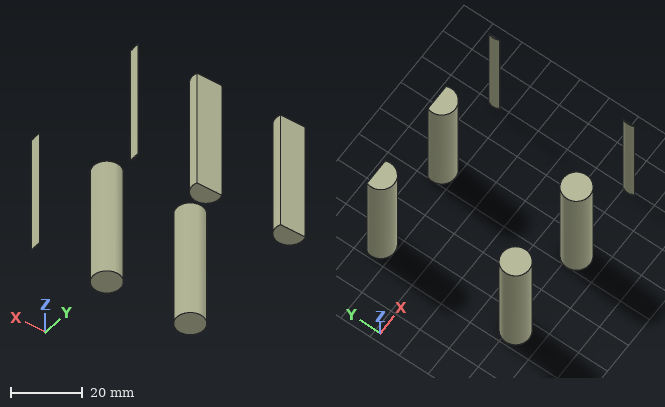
import cadquery as cq

envelope_x = 58.45
envelope_y = 52.7
rod_height = 41.4

rod_diameter = 9.3
rod_radius = rod_diameter / 2
column_pitch = 29.0
row_pitch = 46.35
row_count = 2
whole_columns = 2
last_column = whole_columns

cut_x = envelope_x / 2
cut_y = envelope_y / 2

first_x = -envelope_x / 2 + rod_radius
first_y = -envelope_y / 2 + rod_radius


def rod(column, row):
    """Upright round rod at a grid position, standing on Z = 0."""
    x = first_x + column * column_pitch
    y = first_y + row * row_pitch
    return cq.Workplane("XY").center(x, y).circle(rod_radius).extrude(rod_height)


def keep_below(body, axis, limit):
    """Remove everything past a flat face at the given X or Y limit."""
    block_size = 2 * envelope_x
    offset = limit + block_size / 2
    center = (offset, 0, 0) if axis == "X" else (0, offset, 0)
    block = cq.Workplane("XY").box(block_size, block_size, block_size).translate(center)
    return body.cut(block)


def round_pin(column):
    """Complete rod of the front row."""
    return rod(column, 0)


def flatted_pin(column):
    """Rod of the back row with a flat on its +Y side."""
    return keep_below(rod(column, 1), "Y", cut_y)


def sliver(row):
    """Thin segment of a last-column rod left by the +X cut, also trimmed at the +Y limit."""
    segment = keep_below(rod(last_column, row), "X", cut_x)
    return keep_below(segment, "Y", cut_y)


round_pins = [round_pin(column) for column in range(whole_columns)]
flatted_pins = [flatted_pin(column) for column in range(whole_columns)]
slivers = [sliver(row) for row in range(row_count)]

bodies = round_pins + flatted_pins + slivers
result = cq.Compound.makeCompound([body.val() for body in bodies])